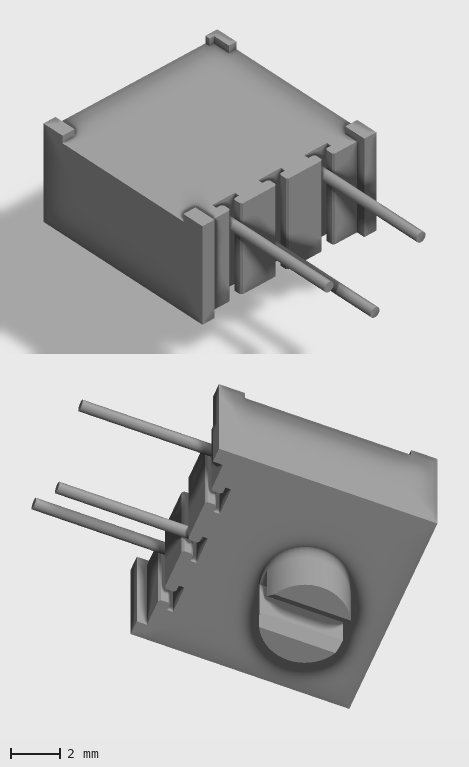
import cadquery as cq

side = 9.57
total_height = 7.87
peg_length = 2.9
foot_height = 0.38
housing_height = total_height - peg_length
deck_height = housing_height - foot_height

foot_length = 1.15
foot_width = 0.66
notch_length = 0.9
notch_width = 0.25

setback = 0.44
pin_face = side - setback

keyhole_depth = 1.2 - setback
keyhole_width = 1.25
neck_width = 0.57
neck_length = 0.5
lip_chamfer = 0.09

pin_diameter = 0.5
pin_pitch = 2.53
pin_end = 14.73
outer_pin_height = 3.58
middle_pin_height = outer_pin_height - pin_pitch

peg_diameter = 3.74
peg_x = 3.87
split_width = 0.81
split_top = 0.37
mouth_width = 1.68
mouth_height = 0.41


def block(x_min, x_max, y_min, y_max, z_min, z_max):
    size = (x_max - x_min, y_max - y_min, z_max - z_min)
    return cq.Workplane().box(*size, centered=False).translate((x_min, y_min, z_min))


def make_housing():
    half = side / 2
    body = block(0, side, -half, half, 0, deck_height)
    for x in (0, side - foot_length):
        for y in (-half, half - foot_width):
            body = body.union(block(x, x + foot_length, y, y + foot_width, 0, housing_height))
    inner = half - foot_width
    body = body.cut(block(pin_face, side, -inner, inner, 0, housing_height))
    return body.cut(
        block(
            foot_length - notch_length, foot_length,
            inner, inner + notch_width,
            deck_height, housing_height,
        )
    )


def make_keyhole(y):
    back = pin_face - keyhole_depth
    shoulder = pin_face - neck_length
    half_neck = neck_width / 2
    half_mouth = half_neck + lip_chamfer
    half_wide = keyhole_width / 2
    upper = [
        (back, half_wide),
        (shoulder, half_wide),
        (shoulder, half_mouth),
        (shoulder + lip_chamfer, half_neck),
        (pin_face - lip_chamfer, half_neck),
        (pin_face, half_mouth),
    ]
    lower = [(px, -py) for px, py in reversed(upper)]
    return cq.Workplane().polyline(upper + lower).close().extrude(deck_height).translate((0, y, 0))


def make_pin(y, z):
    start = pin_face - keyhole_depth
    return (
        cq.Workplane("YZ", origin=(start, y, z))
        .circle(pin_diameter / 2)
        .extrude(pin_end - start)
    )


def make_peg():
    peg = cq.Workplane().center(peg_x, 0).circle(peg_diameter / 2).extrude(-peg_length)
    right = [
        (split_width / 2, -split_top),
        (split_width / 2, mouth_height - peg_length),
        (mouth_width / 2, -peg_length),
    ]
    left = [(-y, z) for y, z in reversed(right)]
    split = (
        cq.Workplane("YZ", origin=(peg_x, 0, 0))
        .polyline(right + left)
        .close()
        .extrude(peg_diameter / 2, both=True)
    )
    return peg.cut(split)


result = make_housing().union(make_peg())
pins = [
    (-pin_pitch, outer_pin_height),
    (0, middle_pin_height),
    (pin_pitch, outer_pin_height),
]
for pin_y, pin_z in pins:
    result = result.cut(make_keyhole(pin_y)).union(make_pin(pin_y, pin_z))